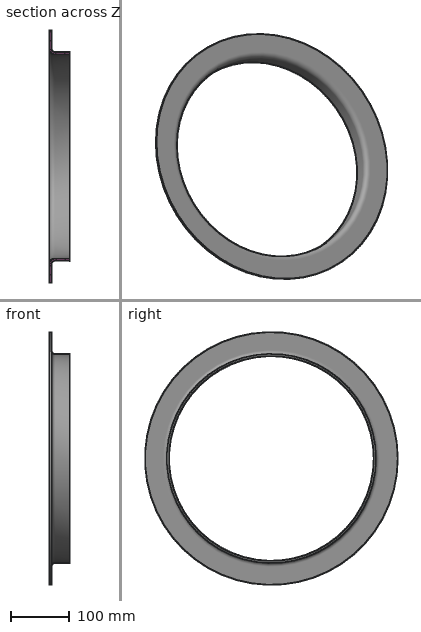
import cadquery as cq

flange_diameter = 430.0
collar_outer_diameter = 355.6
wall = 4.0
length = 35.0
root_radius = 6.0
mouth_radius = 9.0

flange_radius = flange_diameter / 2
collar_radius = collar_outer_diameter / 2
bore_radius = collar_radius - wall


def make_flanged_collar():
    """Revolve the flanged section (x along the axis, y as radius) about X."""
    mouth_start = (0, bore_radius + mouth_radius)
    root_start = (wall, collar_radius + root_radius)
    root_end = (wall + root_radius, collar_radius)
    section = (
        cq.Workplane("XY")
        .moveTo(*mouth_start)
        .lineTo(0, flange_radius)
        .lineTo(wall, flange_radius)
        .lineTo(*root_start)
        .radiusArc(root_end, -root_radius)
        .lineTo(length, collar_radius)
        .lineTo(length, bore_radius)
        .lineTo(mouth_radius, bore_radius)
        .radiusArc(mouth_start, mouth_radius)
        .close()
    )
    return section.revolve(360, (0, 0, 0), (1, 0, 0))


result = make_flanged_collar()